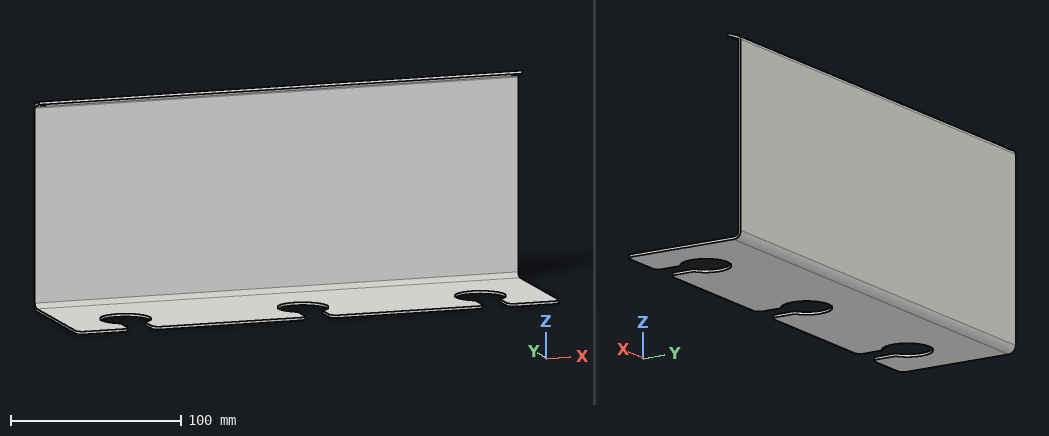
import cadquery as cq
import math

length = 300.0
depth = 80.0
height = 126.5
sheet = 1.8

lower_bend_inner_radius = 3.0
lip_bend_inner_radius = 1.0

lip_reach = 9.5
lip_angle = math.radians(20)
lip_hole_diameter = 3.0
lip_hole_end_distance = 4.0
lip_hole_back_distance = 5.0

slot_count = 3
slot_pitch = 110.0
slot_circle_diameter = 30.0
slot_circle_to_front = 30.0
slot_width = 14.7
slot_neck_radius = 2.0
corner_radius = 4.5

back = depth


def bent_sheet():
    """Shelf, back wall and lip as one bent strip of constant thickness."""
    slope = math.tan(lip_angle)
    tip_y = back - lip_reach
    tip_top_y = tip_y + sheet * math.sin(lip_angle)
    tip_lower_z = height - sheet * math.cos(lip_angle)
    wall_front = back - sheet
    outer_bend_z = height - (back - tip_top_y) * slope
    inner_bend_z = tip_lower_z - (wall_front - tip_y) * slope
    outline = [
        (0, 0),
        (back, 0),
        (back, outer_bend_z),
        (tip_top_y, height),
        (tip_y, tip_lower_z),
        (wall_front, inner_bend_z),
        (wall_front, sheet),
        (0, sheet),
    ]
    body = cq.Workplane("YZ").polyline(outline).close().extrude(length / 2, both=True)

    def round_bend(solid, inner_z, outer_z, inner_radius):
        inner = cq.selectors.NearestToPointSelector((0, wall_front, inner_z))
        outer = cq.selectors.NearestToPointSelector((0, back, outer_z))
        solid = solid.edges("|X").edges(inner).fillet(inner_radius)
        return solid.edges("|X").edges(outer).fillet(inner_radius + sheet)

    body = round_bend(body, sheet, 0, lower_bend_inner_radius)
    body = round_bend(body, inner_bend_z, outer_bend_z, lip_bend_inner_radius)
    front_corners = cq.selectors.BoxSelector(
        (-length, -sheet, -sheet), (length, sheet, 2 * sheet)
    )
    return body.edges("|Z").edges(front_corners).fillet(corner_radius)


def keyhole_cutter():
    """Keyhole centred on x = 0 with a rounded neck and a flared, rounded mouth."""
    radius = slot_circle_diameter / 2
    half_width = slot_width / 2
    centre_y = slot_circle_to_front

    neck_x = half_width + slot_neck_radius
    neck_y = centre_y - math.sqrt((radius + slot_neck_radius) ** 2 - neck_x**2)
    share = radius / (radius + slot_neck_radius)
    touch_x = neck_x * share
    touch_y = centre_y + (neck_y - centre_y) * share
    neck_middle_angle = (math.pi + math.atan2(centre_y - neck_y, -neck_x)) / 2
    neck_middle_x = neck_x + slot_neck_radius * math.cos(neck_middle_angle)
    neck_middle_y = neck_y + slot_neck_radius * math.sin(neck_middle_angle)

    mouth_x = half_width + corner_radius
    mouth_middle_x = mouth_x - corner_radius * math.sqrt(0.5)
    mouth_middle_y = corner_radius * (1 - math.sqrt(0.5))
    return (
        cq.Workplane("XY")
        .moveTo(mouth_x, 0)
        .threePointArc((mouth_middle_x, mouth_middle_y), (half_width, corner_radius))
        .lineTo(half_width, neck_y)
        .threePointArc((neck_middle_x, neck_middle_y), (touch_x, touch_y))
        .threePointArc((0, centre_y + radius), (-touch_x, touch_y))
        .threePointArc((-neck_middle_x, neck_middle_y), (-half_width, neck_y))
        .lineTo(-half_width, corner_radius)
        .threePointArc((-mouth_middle_x, mouth_middle_y), (-mouth_x, 0))
        .close()
        .extrude(sheet)
    )


def lip_hole_cutter(x):
    """Round hole through the lip, square to its sloping face."""
    rise = (lip_reach - lip_hole_back_distance) * math.tan(lip_angle)
    lip_normal = cq.Vector(0, math.sin(lip_angle), math.cos(lip_angle))
    on_lip = cq.Vector(x, back - lip_hole_back_distance, height - rise)
    start = on_lip - lip_normal * (2 * sheet)
    return cq.Solid.makeCylinder(lip_hole_diameter / 2, 4 * sheet, start, lip_normal)


result = bent_sheet()

for index in range(slot_count):
    slot_x = (index - (slot_count - 1) / 2) * slot_pitch
    result = result.cut(keyhole_cutter().translate((slot_x, 0, 0)))

for side in (-1, 1):
    hole_x = side * (length / 2 - lip_hole_end_distance)
    result = result.cut(lip_hole_cutter(hole_x))